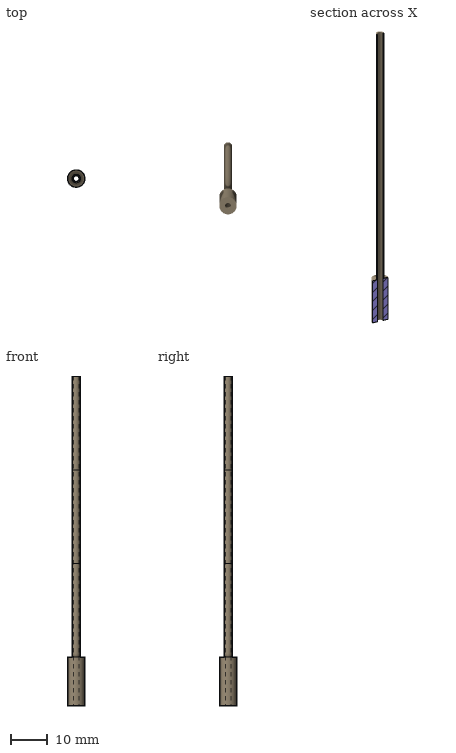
import cadquery as cq

total_length = 89.41
base_diameter = 4.75

segment_count = 3
segment_length = 25.4
tube_diameter = 2.286
bore_diameter = 1.524
base_length = total_length - segment_count * segment_length


def hollow_cylinder(outer_diameter, length, bottom_z):
    """Upright round sleeve with the common bore right through it."""
    return (
        cq.Workplane("XY", origin=(0, 0, bottom_z))
        .circle(outer_diameter / 2)
        .circle(bore_diameter / 2)
        .extrude(length)
    )


base = hollow_cylinder(base_diameter, base_length, 0)

tube_segments = []
for index in range(segment_count):
    segment_bottom = base_length + index * segment_length
    tube_segments.append(hollow_cylinder(tube_diameter, segment_length, segment_bottom))

result = cq.Compound.makeCompound([base.val(), *[segment.val() for segment in tube_segments]])